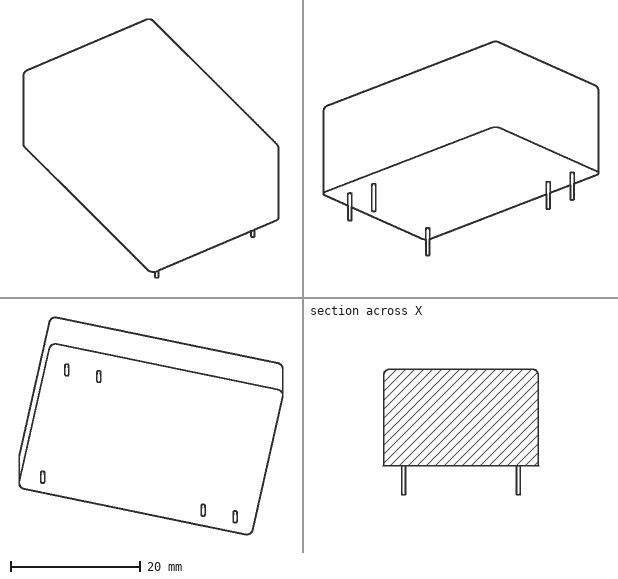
import cadquery as cq

body_length = 37.0
body_width = 24.0
body_height = 15.0
edge_radius = 1.0

pin_diameter = 0.6
pin_length = 4.5
pin_tip_radius = 0.15
pin_embed = 0.37
outer_pin_x = 15.25
inner_pin_x = 10.18
pin_row_y = 8.88
pin_positions = [
    (-outer_pin_x, -pin_row_y),
    (-inner_pin_x, -pin_row_y),
    (outer_pin_x, -pin_row_y),
    (inner_pin_x, pin_row_y),
    (outer_pin_x, pin_row_y),
]


def make_body():
    """Block resting on Z = 0, rounded on its upright and top edges."""
    block = cq.Workplane("XY").box(body_length, body_width, body_height, centered=(True, True, False))
    return block.edges("|Z or >Z").fillet(edge_radius)


def make_pin(x, y):
    """Round pin hanging below the body, with a rounded tip."""
    pin = (
        cq.Workplane("XY", origin=(x, y, -pin_length))
        .circle(pin_diameter / 2)
        .extrude(pin_length + pin_embed)
    )
    return pin.faces("<Z").edges().fillet(pin_tip_radius)


result = make_body()
for pin_x, pin_y in pin_positions:
    result = result.union(make_pin(pin_x, pin_y))